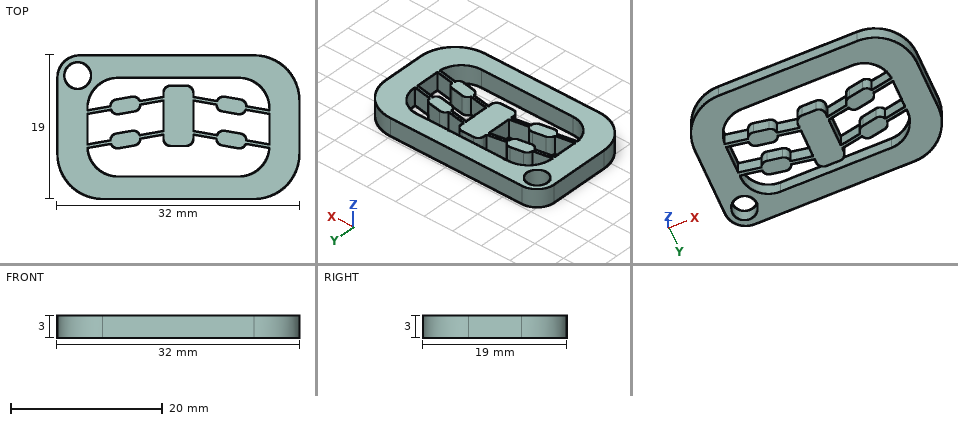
import cadquery as cq
import math

THICKNESS = 3.0
FRAME_LENGTH = 32.0
FRAME_WIDTH = 19.02
WINDOW_LENGTH = 24.0
WINDOW_WIDTH = 13.0
FRAME_CORNER_RADIUS = 6.0
HOLE_CORNER_RADIUS = 3.0
WINDOW_CORNER_RADIUS = 4.0

HOLE_DIAMETER = 3.5
HOLE_WALL = 0.95

BLOCK_LENGTH = 4.0
BLOCK_WIDTH = 8.0
BLOCK_CENTER_Y = 1.5
BLOCK_CORNER_RADIUS = 1.0

ARM_ANGLE = 10.0
ARM_THICKNESS = 0.5
ARM_ROOT_HEIGHTS = (3.75, -0.75)
ARM_OVERLAP = 0.5
PAD_LENGTH = 4.0
PAD_WIDTH = 2.0
PAD_CORNER_RADIUS = 0.95

arm_span = (WINDOW_LENGTH - BLOCK_LENGTH) / 2
arm_middle_x = (BLOCK_LENGTH + arm_span) / 2
arm_middle_drop = arm_span / 2 * math.tan(math.radians(ARM_ANGLE))
arm_length = arm_span / math.cos(math.radians(ARM_ANGLE)) + 2 * ARM_OVERLAP


def slab(length, width):
    """Rectangular slab of full thickness, centred in X and Y, resting on Z = 0."""
    return cq.Workplane("XY").box(length, width, THICKNESS, centered=(True, True, False))


def rounded_slab(length, width, radius):
    """Slab with all four vertical edges rounded."""
    return slab(length, width).edges("|Z").fillet(radius)


def make_frame():
    """Outer plate with its window and hanging hole."""
    hole_offset = HOLE_WALL + HOLE_DIAMETER / 2
    hole_x = -FRAME_LENGTH / 2 + hole_offset
    hole_y = FRAME_WIDTH / 2 - hole_offset

    plate = slab(FRAME_LENGTH, FRAME_WIDTH)
    plate = plate.edges("|Z and (>X or <Y)").fillet(FRAME_CORNER_RADIUS)
    hole_corner = cq.selectors.NearestToPointSelector(
        (-FRAME_LENGTH / 2, FRAME_WIDTH / 2, THICKNESS / 2)
    )
    plate = plate.edges(hole_corner).fillet(HOLE_CORNER_RADIUS)

    window = rounded_slab(WINDOW_LENGTH, WINDOW_WIDTH, WINDOW_CORNER_RADIUS)
    hole = cq.Workplane("XY").center(hole_x, hole_y).circle(HOLE_DIAMETER / 2).extrude(THICKNESS)
    return plate.cut(window).cut(hole)


def make_block():
    """Rounded block between the left and right arms."""
    block = rounded_slab(BLOCK_LENGTH, BLOCK_WIDTH, BLOCK_CORNER_RADIUS)
    return block.translate((0, BLOCK_CENTER_Y, 0))


def make_arm(side, root_y):
    """Arm and pad on one side of the block; side is -1 for -X and +1 for +X."""
    strip = slab(arm_length, ARM_THICKNESS)
    pad = rounded_slab(PAD_LENGTH, PAD_WIDTH, PAD_CORNER_RADIUS)
    arm = strip.union(pad).rotate((0, 0, 0), (0, 0, 1), -side * ARM_ANGLE)
    return arm.translate((side * arm_middle_x, root_y - arm_middle_drop, 0))


result = make_frame().union(make_block())
for root_height in ARM_ROOT_HEIGHTS:
    for direction in (-1, 1):
        result = result.union(make_arm(direction, root_height))